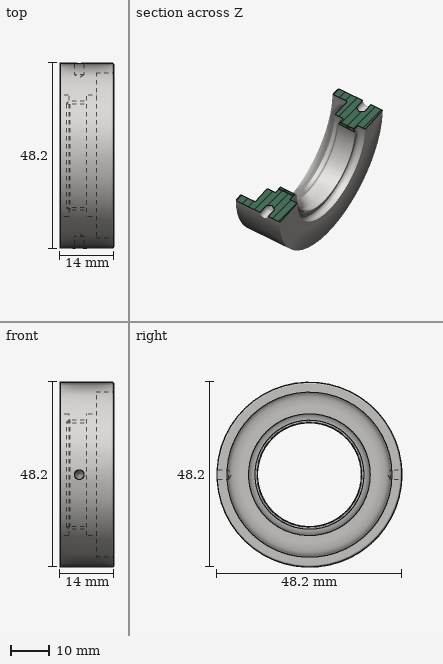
import cadquery as cq
import math


housing_length = 14.0
housing_radius = 24.1
rim_fillet = 0.5
recess_radius = 15.85
web_start = 2.35
web_end = 6.95
web_bore_radius = 14.2
counterbore_radius = 21.5
counterbore_start = 9.5

hole_x = 5.0
hole_radius = 1.25
hole_depth = 3.0
drill_point_angle = 118.0
hole_directions = (-1, 1)

sleeve_bore_radius = 13.5
sleeve_protrusion = 0.65
bevel_width = 0.5
bevel_angle = 30.0
sleeve_start = web_start - sleeve_protrusion
bevel_length = bevel_width / math.tan(math.radians(bevel_angle))


def x_disc(radius, start, end):
    """Solid cylinder along the X axis between two X positions."""
    return cq.Workplane("YZ", origin=(start, 0, 0)).circle(radius).extrude(end - start)


def drilled_hole(direction):
    """Cutter for one blind hole with a conical bottom, entering from -Y or +Y."""
    shoulder_y = housing_radius - hole_depth
    tip_y = shoulder_y - hole_radius / math.tan(math.radians(drill_point_angle / 2))
    half_section = [
        (0, direction * tip_y),
        (hole_radius, direction * shoulder_y),
        (hole_radius, direction * housing_radius),
        (0, direction * housing_radius),
    ]
    cutter = cq.Workplane("XY").polyline(half_section).close().revolve(360, (0, 0, 0), (0, 1, 0))
    return cutter.translate((hole_x, 0, 0))


def make_housing():
    """Ring with a recess on each side of the web and a wider counterbore at the +X end."""
    body = x_disc(housing_radius, 0, housing_length).faces(">X").edges().fillet(rim_fillet)
    body = body.cut(x_disc(recess_radius, 0, web_start))
    body = body.cut(x_disc(web_bore_radius, web_start, web_end))
    body = body.cut(x_disc(recess_radius, web_end, counterbore_start))
    body = body.cut(x_disc(counterbore_radius, counterbore_start, housing_length))
    for direction in hole_directions:
        body = body.cut(drilled_hole(direction))
    return body


def make_sleeve():
    """Tube turned about the X axis from its half section of (x, radius) points."""
    half_section = [
        (sleeve_start, sleeve_bore_radius),
        (sleeve_start, web_bore_radius - bevel_width),
        (sleeve_start + bevel_length, web_bore_radius),
        (web_end, web_bore_radius),
        (web_end, sleeve_bore_radius),
    ]
    return cq.Workplane("XY").polyline(half_section).close().revolve(360, (0, 0, 0), (1, 0, 0))


housing = make_housing()
sleeve = make_sleeve()

result = cq.Compound.makeCompound([housing.val(), sleeve.val()])